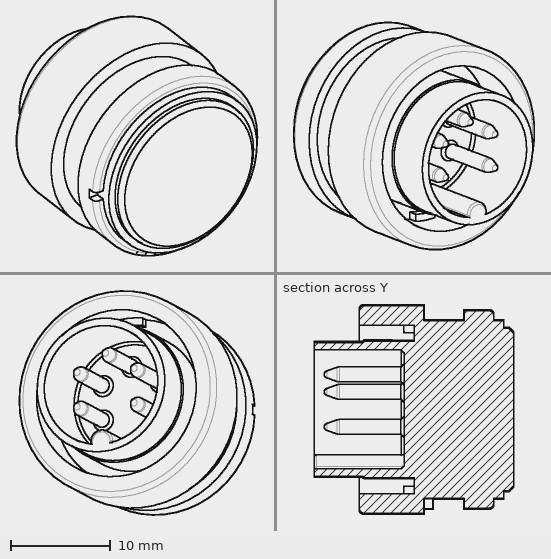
import cadquery as cq
import math


ring_front = 4.5
ring_back = 11.0
flange_front = 15.0
flange_back = 18.0
neck_back = 19.0
overall_length = 20.0
recess_floor = 10.0
bore_floor = 9.0
step_back = 5.0

sleeve_diameter = 13.6
step_diameter = 13.9
ring_diameter = 21
recess_diameter = 17
neck_diameter = 18.0
flange_diameter = 20.0
spigot_diameter = 16.5
bore_diameter = 12.1

edge_size = 0.5
bore_floor_bevel = 0.3

rib_front = 0
rib_width = 2.3
rib_center_drop = 5.71
rib_edge_radius = 0.2

pin_places = 6
pin_circle_radius = 3.5
pin_diameter = 1.5
pin_tip = 1.0
pin_nose_radius = 0.35
pin_taper_angle = math.radians(20)
pin_taper_end = 2.5
pin_shoulder_radius = 0.75
pin_root_diameter = 2.12

lug_width = 2.3
lug_height = 0.74
lug_length = 1.0
key_length = 0.9
notch_length = 1.0
notch_width = 1.0


def cylinder(diameter, start, end):
    """Solid cylinder about the X axis between two stations."""
    return cq.Workplane("YZ").workplane(offset=start).circle(diameter / 2).extrude(end - start)


def cone(start_diameter, end_diameter, start, end):
    """Solid truncated cone about the X axis."""
    return cq.Workplane(
        cq.Solid.makeCone(
            start_diameter / 2, end_diameter / 2, end - start, cq.Vector(start, 0, 0), cq.Vector(1, 0, 0)
        )
    )


def block(start, end, width, low, high):
    """Box between two X stations, centred on Y, spanning low to high in Z."""
    return cq.Workplane("XY").box(end - start, width, high - low, centered=(False, True, False)).translate(
        (start, 0, low)
    )


def make_shell():
    """Ring, neck, flange and rear spigot with the annular recess and the sleeve inside it."""
    ring = cylinder(ring_diameter, ring_front, ring_back).faces("<X").edges().fillet(edge_size)
    recess = cylinder(recess_diameter, ring_front, recess_floor)
    neck = cylinder(neck_diameter, recess_floor, neck_back)
    flange = cylinder(flange_diameter, flange_front, flange_back).faces(">X").edges().fillet(edge_size)
    spigot = cylinder(spigot_diameter, neck_back, overall_length).faces(">X").edges().chamfer(edge_size)
    sleeve = cylinder(sleeve_diameter, 0, recess_floor)
    step_size = (step_diameter - sleeve_diameter) / 2
    step_front = step_back - step_size
    step = cone(sleeve_diameter, step_diameter, step_front, step_back).union(
        cylinder(step_diameter, step_back, recess_floor)
    )
    bore = cylinder(bore_diameter, 0, bore_floor).faces(">X").edges().chamfer(bore_floor_bevel)
    shell = ring.cut(recess).union(neck).union(flange).union(spigot)
    return shell.union(sleeve).union(step).cut(bore)


def make_rib():
    """Round-topped rib on the bottom of the bore, joined to the sleeve wall."""
    outer_radius = (bore_diameter + sleeve_diameter) / 4
    half_width = rib_width / 2
    rib = (
        cq.Workplane("YZ")
        .workplane(offset=rib_front)
        .moveTo(-half_width, -outer_radius)
        .lineTo(-half_width, -rib_center_drop)
        .threePointArc((0, half_width - rib_center_drop), (half_width, -rib_center_drop))
        .lineTo(half_width, -outer_radius)
        .close()
        .extrude(bore_floor - rib_front)
    )
    rib = rib.faces("<X").edges("not(<Z)").fillet(rib_edge_radius)
    return rib.intersect(cylinder(2 * outer_radius, 0, bore_floor))


def make_pin():
    """Pin on the X axis: round nose, taper, soft shoulder and a 45-degree conical root on the bore floor."""
    radius = pin_diameter / 2
    sine = math.sin(pin_taper_angle)
    cosine = math.cos(pin_taper_angle)
    half_sine = math.sin((math.pi / 2 + pin_taper_angle) / 2)
    half_cosine = math.cos((math.pi / 2 + pin_taper_angle) / 2)
    nose_center = pin_tip + pin_nose_radius
    shoulder_axis = radius - pin_shoulder_radius
    root_radius = pin_root_diameter / 2
    root_start = bore_floor - (root_radius - radius)
    profile = (
        cq.Workplane("XZ")
        .moveTo(pin_tip, 0)
        .threePointArc(
            (nose_center - pin_nose_radius * half_sine, pin_nose_radius * half_cosine),
            (nose_center - pin_nose_radius * sine, pin_nose_radius * cosine),
        )
        .lineTo(pin_taper_end - pin_shoulder_radius * sine, shoulder_axis + pin_shoulder_radius * cosine)
        .threePointArc(
            (
                pin_taper_end - pin_shoulder_radius * math.sin(pin_taper_angle / 2),
                shoulder_axis + pin_shoulder_radius * math.cos(pin_taper_angle / 2),
            ),
            (pin_taper_end, radius),
        )
        .lineTo(root_start, radius)
        .lineTo(bore_floor, root_radius)
        .lineTo(bore_floor, 0)
        .close()
    )
    return profile.revolve(360, (0, 0, 0), (1, 0, 0))


def make_lugs():
    """Two bayonet lugs on the recess wall, above and below the axis."""
    recess_radius = recess_diameter / 2
    inner_radius = recess_radius - lug_height
    start = recess_floor - lug_length
    band = cylinder(recess_diameter, start, recess_floor).cut(cylinder(2 * inner_radius, start, recess_floor))
    return band.intersect(block(start, recess_floor, lug_width, -recess_radius, recess_radius))


def make_key():
    """Index key on the bottom of the neck, against the back of the ring."""
    end = ring_back + key_length
    key = block(ring_back, end, lug_width, -flange_diameter / 2, 0)
    return key.intersect(cylinder(flange_diameter, ring_back, end))


def make_notch():
    """Cutter for the notch on the -Y side of the flange, down to the neck surface."""
    start = flange_back - notch_length
    slab = cq.Workplane("XY").box(notch_length, flange_diameter / 2, notch_width, centered=(False, False, True))
    slab = slab.translate((start, -flange_diameter / 2, 0))
    return slab.cut(cylinder(neck_diameter, start, flange_back))


result = make_shell().union(make_rib()).union(make_lugs()).union(make_key()).cut(make_notch())

pin = make_pin().translate((0, 0, -pin_circle_radius))
for place in range(1, pin_places):
    result = result.union(pin.rotate((0, 0, 0), (1, 0, 0), place * 360 / pin_places))